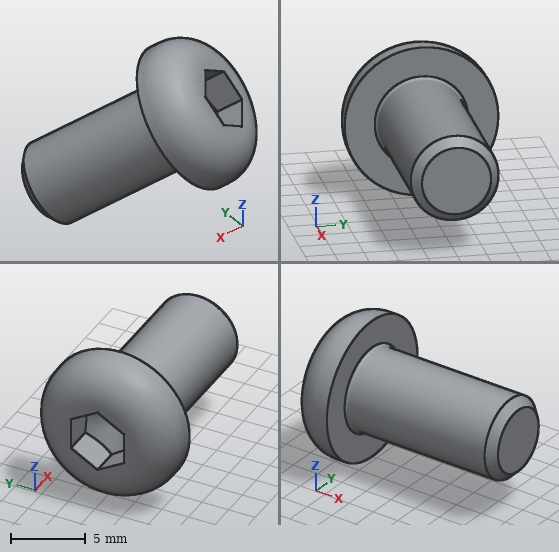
import cadquery as cq
import math

total_length = 15.3
head_diameter = 10.5
head_height = 3.3
rim_width = 0.75
shank_diameter = 6.0
neck_length = 0.28
neck_radius = 0.29
tip_chamfer = 0.65

socket_width = 4.0
socket_depth = 2.08
socket_cone_angle = 120.0

head_radius = head_diameter / 2
shank_radius = shank_diameter / 2
dome_radius = head_height - rim_width
face_radius = head_radius - dome_radius
socket_corner_diameter = socket_width / math.cos(math.radians(30))


def make_body():
    """Revolve the half outline of head and shank about the X axis."""
    arc_offset = dome_radius * math.sqrt(0.5)
    dome_middle = (dome_radius - arc_offset, face_radius + arc_offset)
    neck_angle = math.asin(neck_length / neck_radius)
    neck_end = head_height + neck_length

    def neck_point(angle):
        """Point on the neck arc, which is tangent to the shank at angle zero."""
        return (
            neck_end - neck_radius * math.sin(angle),
            shank_radius + neck_radius * (1 - math.cos(angle)),
        )

    return (
        cq.Workplane("XY")
        .lineTo(0, face_radius)
        .threePointArc(dome_middle, (dome_radius, head_radius))
        .lineTo(head_height, head_radius)
        .lineTo(*neck_point(neck_angle))
        .threePointArc(neck_point(neck_angle / 2), neck_point(0))
        .lineTo(total_length - tip_chamfer, shank_radius)
        .lineTo(total_length, shank_radius - tip_chamfer)
        .lineTo(total_length, 0)
        .close()
        .revolve(360, (0, 0, 0), (1, 0, 0))
    )


def make_socket():
    """Hexagonal prism, corners on +Z and -Z, ended by a cone as wide as its corners."""
    prism = (
        cq.Workplane("YZ")
        .transformed(rotate=(0, 0, 90))
        .polygon(6, socket_corner_diameter)
        .extrude(total_length)
    )
    corner_radius = socket_corner_diameter / 2
    cone_height = corner_radius / math.tan(math.radians(socket_cone_angle / 2))
    pointed_bore = (
        cq.Workplane("XY")
        .lineTo(0, corner_radius)
        .lineTo(socket_depth, corner_radius)
        .lineTo(socket_depth + cone_height, 0)
        .close()
        .revolve(360, (0, 0, 0), (1, 0, 0))
    )
    return prism.intersect(pointed_bore)


result = make_body().cut(make_socket())